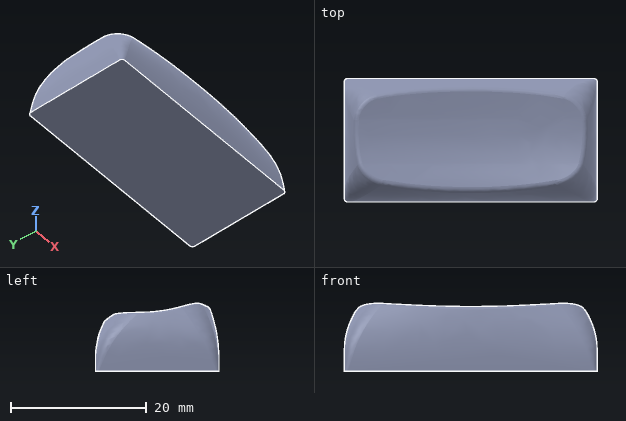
import cadquery as cq
import math

LENGTH = 37.28
WIDTH = 18.23

SIDE_ARC_START = 3.0
SIDE_ARC_RADIUS = 11.2
FRONT_ARC_START = 1.75
FRONT_ARC_RADIUS = 21.62
BACK_ARC_START = 2.1
BACK_ARC_RADIUS = 11.2

SECTION_HEIGHTS = (0.0, 2.1, 4.1, 6.35, 8.57, 10.45)
BLANK_HEIGHT = SECTION_HEIGHTS[-1]
LONG_SIDE_BOW = 1.55
SHORT_SIDE_BOW = 0.55
BASE_CORNER_RADIUS = 0.55
FRONT_CORNER_RADIUS = 3.9
BACK_CORNER_RADIUS = 4.62

DISH_RADIUS = 111.85
DISH_PROFILE = (
    (-11.2, 9.5),
    (-7.1, 9.58),
    (-3.35, 8.35),
    (1.1, 7.53),
    (5.6, 7.55),
    (11.2, 7.68),
)
DISH_REACH = 0.6 * LENGTH
DISH_HALF_ANGLE = math.degrees(math.asin(DISH_REACH / DISH_RADIUS))
CUTTER_TOP = 22.35

RIM_RADIUS = 0.75


def arc_inset(height, start, radius):
    """Inward lean of a flank whose arc leaves the upright at the start height."""
    rise = max(height - start, 0.0)
    return radius - math.sqrt(radius**2 - rise**2)


def front_to_back(wire):
    """Vertices of a wire, sorted by their Y position."""
    return sorted(wire.Vertices(), key=lambda vertex: vertex.Y)


def section(height):
    """Rectangle with bowed sides and rounded corners at one height."""
    share = height / BLANK_HEIGHT
    half_x = LENGTH / 2 - arc_inset(height, SIDE_ARC_START, SIDE_ARC_RADIUS)
    front = -WIDTH / 2 + arc_inset(height, FRONT_ARC_START, FRONT_ARC_RADIUS)
    back = WIDTH / 2 - arc_inset(height, BACK_ARC_START, BACK_ARC_RADIUS)
    bow_y = LONG_SIDE_BOW * share**2
    bow_x = SHORT_SIDE_BOW * share**2
    corner_x = half_x - bow_x
    corner_front = front + bow_y
    corner_back = back - bow_y
    middle_y = (front + back) / 2

    outline = cq.Workplane("XY", origin=(0, 0, height)).moveTo(-corner_x, corner_front)
    if height == 0:
        outline = outline.lineTo(half_x, front).lineTo(half_x, back).lineTo(-half_x, back).close()
    else:
        outline = (
            outline.threePointArc((0, front), (corner_x, corner_front))
            .threePointArc((half_x, middle_y), (corner_x, corner_back))
            .threePointArc((0, back), (-corner_x, corner_back))
            .threePointArc((-half_x, middle_y), (-corner_x, corner_front))
            .close()
        )
    front_radius = BASE_CORNER_RADIUS + (FRONT_CORNER_RADIUS - BASE_CORNER_RADIUS) * share
    back_radius = BASE_CORNER_RADIUS + (BACK_CORNER_RADIUS - BASE_CORNER_RADIUS) * share
    wire = outline.val()
    wire = wire.fillet2D(front_radius, front_to_back(wire)[:2])
    return wire.fillet2D(back_radius, front_to_back(wire)[-2:])


def make_blank():
    return cq.Workplane(cq.Solid.makeLoft([section(height) for height in SECTION_HEIGHTS]))


def make_dish_cutter():
    lowest = min(height for _, height in DISH_PROFILE)
    axis_height = lowest + DISH_RADIUS
    first_y = DISH_PROFILE[0][0]
    last_y = DISH_PROFILE[-1][0]
    return (
        cq.Workplane("YZ")
        .moveTo(*DISH_PROFILE[0])
        .spline(DISH_PROFILE[1:], includeCurrent=True)
        .lineTo(last_y, CUTTER_TOP)
        .lineTo(first_y, CUTTER_TOP)
        .close()
        .revolve(2 * DISH_HALF_ANGLE, (first_y, axis_height), (last_y, axis_height))
        .rotate((0, first_y, axis_height), (0, last_y, axis_height), -DISH_HALF_ANGLE)
    )


blank = make_blank()
body = blank.cut(make_dish_cutter())
result = body.faces(">Z").edges().fillet(RIM_RADIUS)